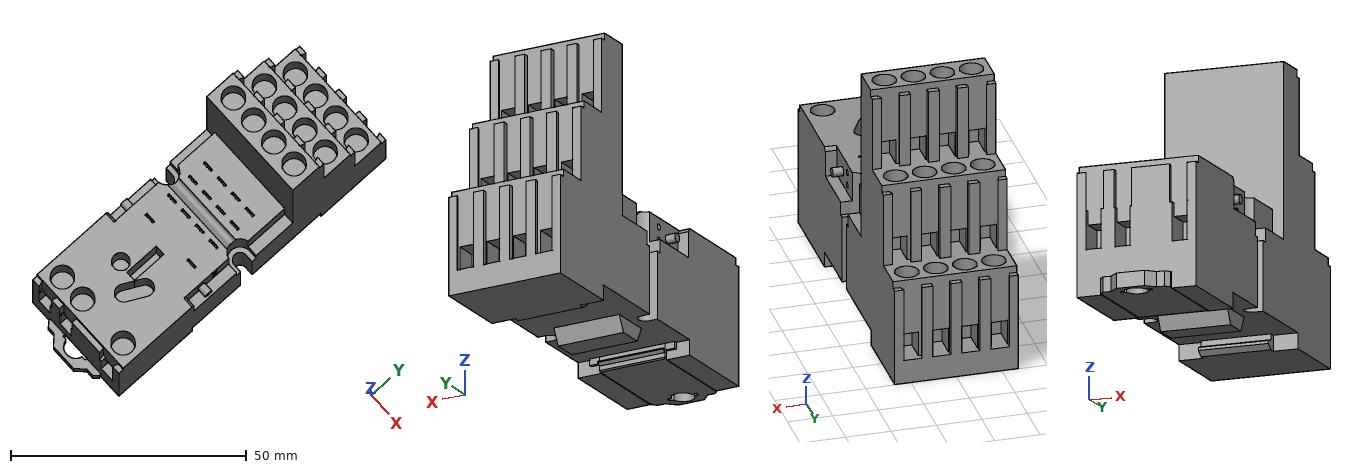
import cadquery as cq
import math


width = 27.2
depth = 76.3
tier_pitch = 8.9
tier_tops = [24.0, 42.55, 61.0]
tower_front = depth - 3 * tier_pitch
deck_top = 28.8
ledge_depth = 1.3
ledge_drop = 1.6

terminal_pitch = 6.4
terminal_xs = [(i - 1.5) * terminal_pitch for i in range(4)]
front_terminal_xs = [terminal_xs[0], terminal_xs[1], terminal_xs[3]]
screw_dia = 5.2
screw_inset = 4.9
screw_hole_depth = 8.0
wire_slot_width = 4.0
wire_slot_height = 16.9
wire_throat_width = 3.5
wire_throat_height = 8.6
outer_throat_shift = 0.2
outer_slot_flare_out = 0.5
outer_slot_flare_in = 0.2
wire_entry_height = 5.7
wire_entry_depth = 6.4

mount_y = 36.5
mount_inset = 2.0
mount_dia = 3.3
mount_head_dia = 5.6
mount_head_floor = 19.0
groove_back = 37.5
groove_radius = 0.9
groove_depth = 1.75
groove_slope = 50.0

recess_depth = 2.55
recess_floor = 22.0
recess_front = 21.5
recess_bevel_length = 0.55
recess_bevel_height = 0.9
peg_dia = 2.0
peg_y = 25.9
peg_z = 25.15
peg_length = 2.3
pinhole_dia = 1.3
pinhole_y = 29.7
pinhole_zs = [23.7, 26.75]
pinhole_depth = 1.6

opening_depth = 8.0
test_slot_width = 2.4
test_slot_front = 15.7
test_slot_back = 24.1
round_hole_dia = 3.9
round_hole_x = -3.75
round_hole_y = 16.3
oblique_start = (1.7, 12.2)
oblique_end = (3.8, 16.4)
contact_length = 2.4
contact_width = 0.5
contact_depth = 1.6
contact_pitch = 4.4
contact_xs = [(i - 1.5) * contact_pitch for i in range(4)]
full_contact_rows = [33.45, 39.45, 43.75]
outer_contact_row = 27.15

rail_height = 3.5
rail_front = 21.0
rail_back = 57.8
rail_part_width = 16.0
rib_top_length = 9.5
rib_bottom_length = 5.8
hook_neck_length = 1.3
hook_tip_length = 2.9
hook_neck_bottom = 2.2
hook_tip_top = 1.7
hook_tip_bottom = 1.0
hook_foot_length = 1.35
guide_length = 0.7
guide_width = 2.4
guide_bottom = 2.0
clip_bottom = 0.15
nose_length = 0.8
nose_top = 2.2
nose_tip_bottom = 2.0
nose_root_bottom = 1.4
clip_bevel_length = 0.4
clip_bevel_height = 0.2
clip_reach = 3.5
shoulder_straight = 0.5
shoulder_half_width = 7.0
shoulder_reach = 1.5
loop_base_half_width = 5.2
loop_tip_half_width = 3.2
window_dia = 5.1
window_wing_span = 7.0
window_wing_width = 0.95


def box(x_range, y_range, z_range):
    """Box between two limits along each axis."""
    (x0, x1), (y0, y1), (z0, z1) = x_range, y_range, z_range
    return cq.Workplane("XY").box(x1 - x0, y1 - y0, z1 - z0, centered=False).translate((x0, y0, z0))


def centred_box(x, length, y_range, z_range):
    return box((x - length / 2, x + length / 2), y_range, z_range)


def side_prism(points, length):
    """Prism along X, centred on X = 0, from (Y, Z) points."""
    return cq.Workplane("YZ").polyline(points).close().extrude(length / 2, both=True)


def drill(x, y, top, diameter, hole_depth):
    """Vertical cylinder going down from the given top."""
    return cq.Workplane("XY", origin=(x, y, top)).circle(diameter / 2).extrude(-hole_depth)


def body_block():
    """Stepped side profile of the housing with a ledge on every outer edge."""
    points = [
        (0, 0),
        (0, deck_top - ledge_drop),
        (ledge_depth, deck_top - ledge_drop),
        (ledge_depth, deck_top),
        (tower_front, deck_top),
        (tower_front, tier_tops[-1]),
    ]
    for tier in (2, 1, 0):
        face = depth - tier * tier_pitch
        top = tier_tops[tier]
        points += [
            (face - ledge_depth, top),
            (face - ledge_depth, top - ledge_drop),
            (face, top - ledge_drop),
        ]
        if tier > 0:
            points.append((face, tier_tops[tier - 1]))
    points.append((depth, 0))
    return side_prism(points, width)


def wire_slot(x, face, inward, top, bottom, throat_height):
    """Wire slot in a terminal face, with a narrower throat at the bottom and a deeper
    wire entry behind it; inward is +1 or -1 along Y."""
    outer = abs(x) > terminal_pitch
    side = 1 if x > 0 else -1
    half = wire_slot_width / 2
    flare_out = outer_slot_flare_out if outer else 0
    flare_in = outer_slot_flare_in if outer else 0
    throat_x = x + side * outer_throat_shift if outer else x
    throat_top = bottom + throat_height
    slot_back = face + inward * ledge_depth
    entry_back = face + inward * wire_entry_depth

    slot_outline = [
        (x - side * half, face),
        (x + side * half, face),
        (x + side * (half + flare_out), slot_back),
        (x - side * (half + flare_in), slot_back),
    ]
    slot = (
        cq.Workplane("XY", origin=(0, 0, throat_top))
        .polyline(slot_outline)
        .close()
        .extrude(top - throat_top)
    )
    entry = centred_box(
        throat_x,
        wire_throat_width,
        sorted((face, entry_back)),
        (bottom, bottom + wire_entry_height),
    )
    slot = slot.union(entry)
    if throat_height > 0:
        throat = centred_box(
            throat_x, wire_throat_width, sorted((face, slot_back)), (bottom, throat_top)
        )
        slot = slot.union(throat)
    return slot


def cut_terminal_row(body, xs, face, inward, top, bottom, throat_height):
    for x in xs:
        body = body.cut(drill(x, face + inward * screw_inset, top, screw_dia, screw_hole_depth))
        body = body.cut(wire_slot(x, face, inward, top - ledge_drop, bottom, throat_height))
    return body


def cut_terminals(body):
    front_bottom = deck_top - ledge_drop - wire_slot_height
    body = cut_terminal_row(
        body, front_terminal_xs, 0, 1, deck_top, front_bottom, wire_throat_height
    )
    slot_bottoms = [tier_tops[0] - ledge_drop - wire_slot_height] + tier_tops[:-1]
    for tier, (top, bottom) in enumerate(zip(tier_tops, slot_bottoms)):
        face = depth - tier * tier_pitch
        body = cut_terminal_row(body, terminal_xs, face, -1, top, bottom, 0)
    return body


def side_recess(side):
    """Recess beside the deck, bevelled at the top of its front end."""
    outline = [
        (recess_front, recess_floor),
        (recess_front, deck_top - recess_bevel_height),
        (recess_front - recess_bevel_length, deck_top),
        (tower_front, deck_top),
        (tower_front, recess_floor),
    ]
    centre = side * (width - recess_depth) / 2
    return side_prism(outline, recess_depth).translate((centre, 0, 0))


def side_rod(side, y, z, diameter, start, length):
    """Cylinder along X from the given distance off the centre plane, outwards."""
    rod = cq.Workplane("YZ").circle(diameter / 2).extrude(side * length)
    return rod.translate((side * start, y, z))


def shape_sides(body):
    recess_wall = width / 2 - recess_depth
    for side in (-1, 1):
        body = body.cut(side_recess(side))
        for z in pinhole_zs:
            start = recess_wall - pinhole_depth
            body = body.cut(side_rod(side, pinhole_y, z, pinhole_dia, start, pinhole_depth))
        body = body.union(side_rod(side, peg_y, peg_z, peg_dia, recess_wall, peg_length))
    return body


def mounting_notch(side, diameter, floor):
    """Round-ended notch open to the side face, from the given floor up to the deck."""
    axis_x = side * (width / 2 - mount_inset)
    bore = drill(axis_x, mount_y, deck_top, diameter, deck_top - floor)
    mouth = box(
        sorted((axis_x, side * width / 2)),
        (mount_y - diameter / 2, mount_y + diameter / 2),
        (floor, deck_top),
    )
    return bore.union(mouth)


def cut_mounting_notches(body):
    for side in (-1, 1):
        body = body.cut(mounting_notch(side, mount_dia, 0))
        body = body.cut(mounting_notch(side, mount_head_dia, mount_head_floor))
    return body


def deck_groove():
    """Cross groove with an upright back, a round bottom and a sloping front."""
    axis_y = groove_back - groove_radius
    axis_z = deck_top - groove_depth + groove_radius
    slope = math.radians(groove_slope)
    slope_foot_y = axis_y - groove_radius * math.sin(slope)
    slope_foot_z = axis_z - groove_radius * math.cos(slope)
    slope_top_y = slope_foot_y - (deck_top - slope_foot_z) / math.tan(slope)
    return (
        cq.Workplane("YZ")
        .moveTo(groove_back, deck_top)
        .lineTo(groove_back, axis_z)
        .threePointArc((axis_y, axis_z - groove_radius), (slope_foot_y, slope_foot_z))
        .lineTo(slope_top_y, deck_top)
        .close()
        .extrude(width / 2, both=True)
    )


def oblique_slot():
    """Round-ended slot running between two centres on the deck."""
    (x0, y0), (x1, y1) = oblique_start, oblique_end
    length = math.hypot(x1 - x0, y1 - y0)
    angle = math.degrees(math.atan2(y1 - y0, x1 - x0))
    return (
        cq.Workplane("XY", origin=((x0 + x1) / 2, (y0 + y1) / 2, deck_top))
        .slot2D(length + round_hole_dia, round_hole_dia, angle)
        .extrude(-opening_depth)
    )


def cut_deck(body):
    test_slot = centred_box(
        0, test_slot_width, (test_slot_front, test_slot_back), (deck_top - opening_depth, deck_top)
    )
    body = body.cut(deck_groove()).cut(test_slot).cut(oblique_slot())
    body = body.cut(drill(round_hole_x, round_hole_y, deck_top, round_hole_dia, opening_depth))
    contacts = [(x, y) for y in full_contact_rows for x in contact_xs]
    contacts += [(x, outer_contact_row) for x in (contact_xs[0], contact_xs[-1])]
    slots = (
        cq.Workplane("XY", origin=(0, 0, deck_top))
        .pushPoints(contacts)
        .rect(contact_length, contact_width)
        .extrude(-contact_depth)
    )
    return body.cut(slots)


def rail_hook():
    """Fixed hook at the back of the rail channel."""
    points = [
        (rail_back, 0),
        (rail_back, rail_height),
        (rail_back - hook_neck_length, rail_height),
        (rail_back - hook_neck_length, hook_neck_bottom),
        (rail_back - hook_tip_length, hook_tip_top),
        (rail_back - hook_tip_length, hook_tip_bottom),
        (rail_back - hook_foot_length, 0),
    ]
    return side_prism(points, rail_part_width)


def centre_rib():
    """Tapered rib across the middle of the rail channel."""
    points = [
        (mount_y - rib_top_length / 2, rail_height),
        (mount_y + rib_top_length / 2, rail_height),
        (mount_y + rib_bottom_length / 2, 0),
        (mount_y - rib_bottom_length / 2, 0),
    ]
    return side_prism(points, rail_part_width)


def shape_base(body):
    body = body.cut(centred_box(0, width, (rail_front, rail_back), (0, rail_height)))
    body = body.union(rail_hook()).union(centre_rib())
    for side in (-1, 1):
        guide = centred_box(
            side * (rail_part_width + guide_width) / 2,
            guide_width,
            (rail_front, rail_front + guide_length),
            (guide_bottom, rail_height),
        )
        body = body.union(guide)
    return body.cut(centred_box(0, rail_part_width, (0, rail_front), (0, rail_height)))


def make_housing():
    body = body_block()
    body = shape_sides(body)
    body = shape_base(body)
    body = cut_mounting_notches(body)
    body = cut_terminals(body)
    return cut_deck(body)


def make_clip():
    """Release clip: a plate with a rail nose at the back and a pull loop at the front."""
    nose_root = rail_front + guide_length
    plate = side_prism(
        [
            (0, clip_bottom),
            (0, rail_height),
            (nose_root, rail_height),
            (nose_root, nose_top),
            (nose_root + nose_length, nose_top),
            (nose_root + nose_length, nose_tip_bottom),
            (nose_root, nose_root_bottom),
            (nose_root, clip_bottom + clip_bevel_height),
            (nose_root - clip_bevel_length, clip_bottom),
        ],
        rail_part_width,
    )
    right_edge = [
        (rail_part_width / 2, 0),
        (rail_part_width / 2, -shoulder_straight),
        (shoulder_half_width, -shoulder_reach),
        (loop_base_half_width, -shoulder_reach),
        (loop_tip_half_width, -clip_reach),
    ]
    left_edge = [(-x, y) for x, y in reversed(right_edge)]
    height = rail_height - clip_bottom
    loop = cq.Workplane("XY").polyline(right_edge + left_edge).close().extrude(height)
    window = (
        cq.Workplane("XY")
        .rect(window_wing_span, window_wing_width)
        .extrude(height)
        .union(cq.Workplane("XY").circle(window_dia / 2).extrude(height))
    )
    return plate.union(loop.translate((0, 0, clip_bottom))).cut(window.translate((0, 0, clip_bottom)))


housing = make_housing()
clip = make_clip()
result = cq.Compound.makeCompound([housing.val(), clip.val()])